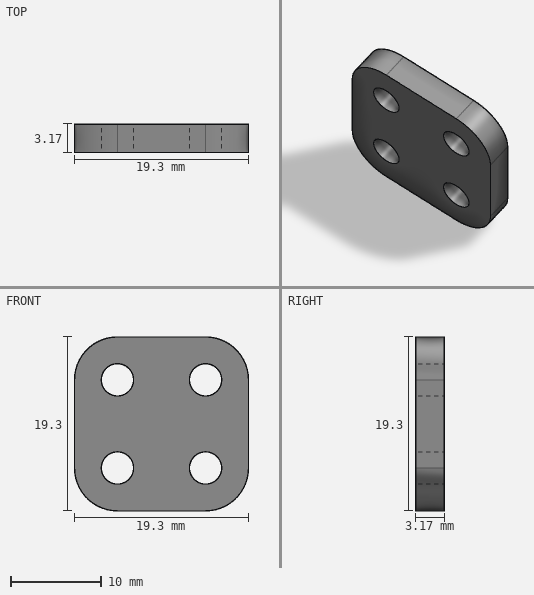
import cadquery as cq

side = 19.3
thickness = 3.17
corner_radius = 4.77
hole_diameter = 3.55

hole_spacing = side - 2 * corner_radius


def rounded_plate():
    return cq.Workplane("XY").box(side, thickness, side).edges("|Y").fillet(corner_radius)


def drill_corner_holes(plate):
    return (
        plate.faces("<Y")
        .workplane(centerOption="CenterOfBoundBox")
        .rarray(hole_spacing, hole_spacing, 2, 2)
        .hole(hole_diameter)
    )


result = drill_corner_holes(rounded_plate())